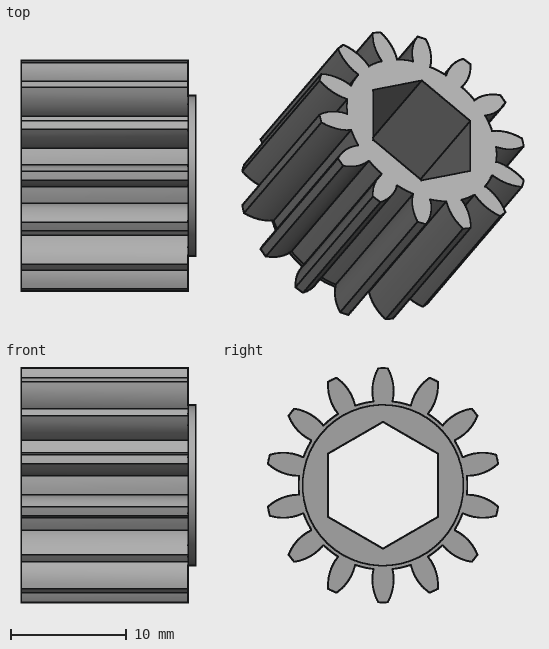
import cadquery as cq
import math

tooth_count = 14
tip_radius = 10.15
root_diameter = 14.63
gear_length = 14.47
total_length = 15.14
hub_diameter = 13.94
hex_across_flats = 9.49

tip_half_width = 0.4
bulge_half_width = 0.9
bulge_height = 8.74
root_half_width = 0.83

root_radius = root_diameter / 2
hub_length = total_length - gear_length
hex_across_corners = hex_across_flats / math.cos(math.pi / 6)


def height_on_circle(radius, half_width):
    """Height of a circle above its centre at a given sideways distance."""
    return math.sqrt(radius**2 - half_width**2)


def make_tooth():
    """One tooth pointing along +Z, with bowed flanks and a round tip."""
    tip_height = height_on_circle(tip_radius, tip_half_width)
    root_height = height_on_circle(root_radius, root_half_width)
    foot_height = (root_radius + hex_across_corners / 2) / 2
    return (
        cq.Workplane("YZ")
        .moveTo(-root_half_width, foot_height)
        .lineTo(-root_half_width, root_height)
        .threePointArc((-bulge_half_width, bulge_height), (-tip_half_width, tip_height))
        .threePointArc((0, tip_radius), (tip_half_width, tip_height))
        .threePointArc((bulge_half_width, bulge_height), (root_half_width, root_height))
        .lineTo(root_half_width, foot_height)
        .close()
        .extrude(gear_length)
    )


gear = cq.Workplane("YZ").circle(root_radius).extrude(gear_length)
tooth = make_tooth()
for index in range(tooth_count):
    angle = index * 360 / tooth_count
    gear = gear.union(tooth.rotate((0, 0, 0), (1, 0, 0), angle))

hub = cq.Workplane("YZ", origin=(gear_length, 0, 0)).circle(hub_diameter / 2).extrude(hub_length)

bore = (
    cq.Workplane("YZ")
    .polygon(6, hex_across_corners)
    .extrude(total_length)
    .rotate((0, 0, 0), (1, 0, 0), 90)
)

result = gear.union(hub).cut(bore)